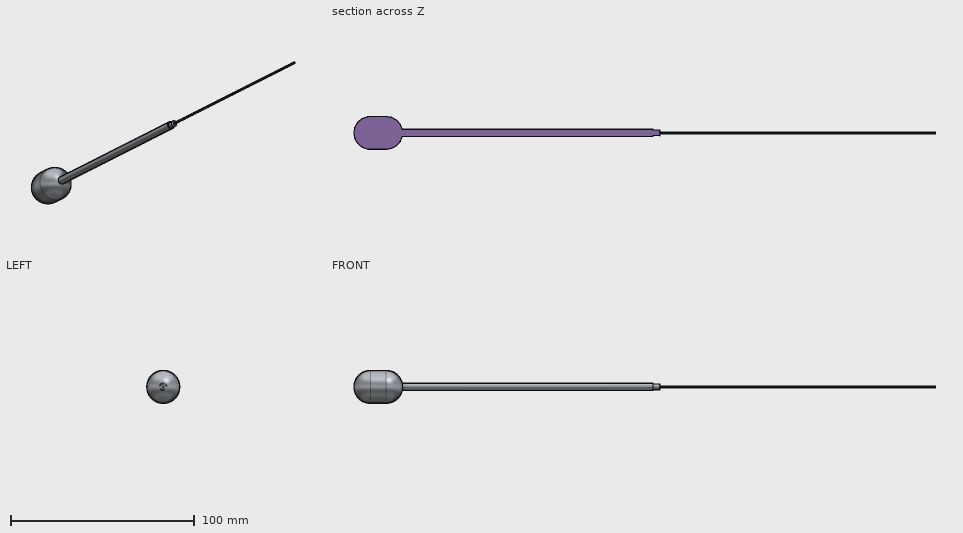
import cadquery as cq

total_length = 316.7

head_diameter = 18.0
head_straight_length = 8.5

stem_diameter = 4.0
collar_diameter = 3.2
collar_length = 3.8
wire_diameter = 1.0
wire_length = 150.0

head_radius = head_diameter / 2
head_straight_start = head_radius
head_straight_end = head_straight_start + head_straight_length
wire_start = total_length - wire_length
collar_start = wire_start - collar_length


def rod(diameter, start, end):
    """Round rod on the X axis from start to end."""
    return cq.Workplane("YZ", origin=(start, 0, 0)).circle(diameter / 2).extrude(end - start)


def end_sphere(center):
    """Sphere on the X axis, whose outer half closes one end of the head."""
    return cq.Workplane("XY", origin=(center, 0, 0)).sphere(head_radius, direct=(1, 0, 0))


head = rod(head_diameter, head_straight_start, head_straight_end)
for center in (head_straight_start, head_straight_end):
    head = head.union(end_sphere(center))

stem = rod(stem_diameter, head_straight_end, collar_start)
collar = rod(collar_diameter, collar_start, wire_start)
wire = rod(wire_diameter, wire_start, total_length)

result = head.union(stem).union(collar).union(wire)